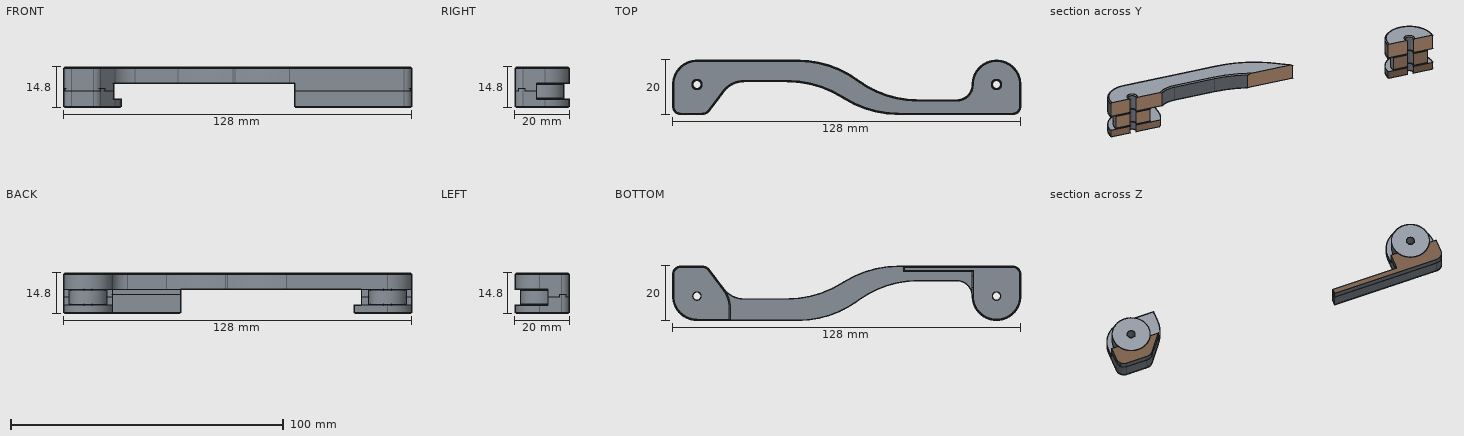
import cadquery as cq
import math

LENGTH = 128.0
DEPTH = 20.0
HEIGHT = 14.8

FLOOR_TOP = 3.1
JOINT_LEVEL = 6.1
TONGUE_TOP = 6.9
ROOF_LEVEL = 8.8

HEAD_RADIUS = 9.0
CORNER_RADIUS = 3.0
EDGE_CHAMFER = 0.45
ARM_FRONT = 12.0
ARM_BACK = 5.4
BEND_STRAIGHT = 0.8
FRONT_BEND_START = 42.1
FRONT_BEND_END = 83.1
BACK_BEND_START = 46.1
BACK_BEND_END = 90.2
FOOT_WIDTH = 12.5
FOOT_ANGLE = 53.0
FOOT_CORNER_RADIUS = 3.2
FOOT_BLEND_RADIUS = 9.2

PIVOT_Y = DEPTH - HEAD_RADIUS
PIVOTS = [(HEAD_RADIUS, PIVOT_Y), (LENGTH - HEAD_RADIUS, PIVOT_Y)]
BUSHING_DIAMETER = 14.0
BORE_DIAMETER = 3.0
BUSHING_GAP = 0.3
CAVITY_FRONT = 8.0

LEFT_FLOOR_RADIUS = 12.0
WALL_START = 84.9
WALL_THICKNESS = 2.0
TONGUE_FRONT = 1.3
TONGUE_BACK = 3.6

HEAD_LEFT = LENGTH - 2 * HEAD_RADIUS
HEAD_BLEND_RADIUS = PIVOT_Y - ARM_BACK

SLANT = math.radians(FOOT_ANGLE)
SLANT_X = math.cos(SLANT)
SLANT_Y = math.sin(SLANT)


def arc_point(center, radius, angle):
    """Point of an arc at an angle in radians from +X."""
    return (center[0] + radius * math.cos(angle), center[1] + radius * math.sin(angle))


def s_bend(high, low):
    """Points along a falling S-bend that starts and ends parallel to X.

    Returns the middle and end of the upper arc, then the start and middle of the lower arc;
    a short straight line tangent to both arcs joins them.
    """
    run = low[0] - high[0]
    drop = high[1] - low[1]
    radius = (run**2 + drop**2 - BEND_STRAIGHT**2) / (4 * drop)
    upper_center = (high[0], high[1] - radius)
    lower_center = (low[0], low[1] + radius)
    rise = lower_center[1] - upper_center[1]
    turn = math.atan2(rise, run) + math.acos(2 * radius / math.hypot(run, rise))
    halfway = (turn + math.pi / 2) / 2
    return (
        arc_point(upper_center, radius, halfway),
        arc_point(upper_center, radius, turn),
        arc_point(lower_center, radius, turn + math.pi),
        arc_point(lower_center, radius, halfway + math.pi),
    )


CORNER_SETBACK = FOOT_CORNER_RADIUS * math.tan(SLANT / 2)
BLEND_SETBACK = FOOT_BLEND_RADIUS * math.tan(SLANT / 2)
SLANT_LENGTH = ARM_FRONT / SLANT_Y
SLANT_LOW = (FOOT_WIDTH + CORNER_SETBACK * SLANT_X, CORNER_SETBACK * SLANT_Y)
SLANT_HIGH = (
    FOOT_WIDTH + (SLANT_LENGTH - BLEND_SETBACK) * SLANT_X,
    (SLANT_LENGTH - BLEND_SETBACK) * SLANT_Y,
)
BLEND_END = (FOOT_WIDTH + SLANT_LENGTH * SLANT_X + BLEND_SETBACK, ARM_FRONT)


def with_left_end(outline):
    """Draw the left end: from (HEAD_RADIUS, DEPTH) round to the top of the slanted side."""
    corner_start = (FOOT_WIDTH - CORNER_SETBACK, 0)
    return (
        outline.threePointArc(arc_point(PIVOTS[0], HEAD_RADIUS, 0.75 * math.pi), (0, PIVOT_Y))
        .lineTo(0, CORNER_RADIUS)
        .threePointArc(
            arc_point((CORNER_RADIUS, CORNER_RADIUS), CORNER_RADIUS, 1.25 * math.pi),
            (CORNER_RADIUS, 0),
        )
        .lineTo(*corner_start)
        .threePointArc(
            arc_point((corner_start[0], FOOT_CORNER_RADIUS), FOOT_CORNER_RADIUS, (SLANT - math.pi) / 2),
            SLANT_LOW,
        )
        .lineTo(*SLANT_HIGH)
    )


def with_right_end(outline):
    """Draw the right end: from the front edge round to the left side of the right head."""
    corner_center = (LENGTH - CORNER_RADIUS, CORNER_RADIUS)
    return (
        outline.lineTo(corner_center[0], 0)
        .threePointArc(
            arc_point(corner_center, CORNER_RADIUS, -math.pi / 4), (LENGTH, CORNER_RADIUS)
        )
        .lineTo(LENGTH, PIVOT_Y)
        .threePointArc((PIVOTS[1][0], DEPTH), (HEAD_LEFT, PIVOT_Y))
    )


def handle_outline():
    """Closed plan outline: two heads joined by the S-shaped arm."""
    front = s_bend((FRONT_BEND_START, ARM_FRONT), (FRONT_BEND_END, 0))
    back = s_bend((BACK_BEND_START, DEPTH), (BACK_BEND_END, ARM_BACK))
    foot_blend_center = (BLEND_END[0], ARM_FRONT - FOOT_BLEND_RADIUS)
    outline = with_left_end(cq.Workplane("XY").moveTo(HEAD_RADIUS, DEPTH))
    outline = (
        outline.threePointArc(
            arc_point(foot_blend_center, FOOT_BLEND_RADIUS, (math.pi + SLANT) / 2), BLEND_END
        )
        .lineTo(FRONT_BEND_START, ARM_FRONT)
        .threePointArc(front[0], front[1])
        .lineTo(*front[2])
        .threePointArc(front[3], (FRONT_BEND_END, 0))
    )
    head_blend_center = (HEAD_LEFT - HEAD_BLEND_RADIUS, PIVOT_Y)
    return (
        with_right_end(outline)
        .threePointArc(
            arc_point(head_blend_center, HEAD_BLEND_RADIUS, -math.pi / 4),
            (head_blend_center[0], ARM_BACK),
        )
        .lineTo(BACK_BEND_END, ARM_BACK)
        .threePointArc(back[3], back[2])
        .lineTo(*back[1])
        .threePointArc(back[0], (BACK_BEND_START, DEPTH))
        .close()
    )


def left_cover_outline():
    """Left end whose inner side rounds from the slanted side to the back."""
    floor_center = (
        SLANT_HIGH[0] - LEFT_FLOOR_RADIUS * SLANT_Y,
        SLANT_HIGH[1] + LEFT_FLOOR_RADIUS * SLANT_X,
    )
    side_x = floor_center[0] + LEFT_FLOOR_RADIUS
    outline = with_left_end(cq.Workplane("XY").moveTo(HEAD_RADIUS, DEPTH))
    return (
        outline.threePointArc(
            arc_point(floor_center, LEFT_FLOOR_RADIUS, (SLANT - math.pi / 2) / 2),
            (side_x, floor_center[1]),
        )
        .lineTo(side_x, DEPTH)
        .close()
    )


def right_cover_outline():
    """Right head with a thin wall running along the front of the arm."""
    outline = with_right_end(cq.Workplane("XY").moveTo(WALL_START, 0))
    return (
        outline.lineTo(HEAD_LEFT, WALL_THICKNESS).lineTo(WALL_START, WALL_THICKNESS).close()
    )


def box(x_range, y_range, z_range):
    """Block between the given (low, high) limits."""
    size = [high - low for low, high in (x_range, y_range, z_range)]
    return cq.Workplane("XY").box(*size, centered=False).translate(
        (x_range[0], y_range[0], z_range[0])
    )


def bores():
    """Straight holes on both pivot axes."""
    return cq.Workplane("XY").pushPoints(PIVOTS).circle(BORE_DIAMETER / 2).extrude(HEIGHT)


def bore_mouths():
    """45 degree cones that chamfer the bores at the top face."""
    mouth_radius = BORE_DIAMETER / 2 + EDGE_CHAMFER
    top = cq.Workplane("XY", origin=(0, 0, HEIGHT)).pushPoints(PIVOTS).circle(mouth_radius)
    return top.extrude(-EDGE_CHAMFER, taper=45)


def cavity():
    """Slot right through both ends, with a round recess that takes the front of each bushing."""
    slot = box((0, LENGTH), (CAVITY_FRONT, DEPTH), (FLOOR_TOP, ROOF_LEVEL))
    recesses = (
        cq.Workplane("XY", origin=(0, 0, FLOOR_TOP))
        .pushPoints(PIVOTS)
        .circle(BUSHING_DIAMETER / 2)
        .extrude(ROOF_LEVEL - FLOOR_TOP)
    )
    return slot.union(recesses)


def tongues():
    """Locating strip along X that rises from the joint level of both covers."""
    return box((0, LENGTH), (TONGUE_FRONT, TONGUE_BACK), (JOINT_LEVEL, TONGUE_TOP))


def make_cover(outline):
    """Lower part of one end: a floor with a wall that carries the tongue."""
    blank = outline.extrude(HEIGHT).faces("<Z").chamfer(EDGE_CHAMFER)
    below_joint = box((0, LENGTH), (0, DEPTH), (0, JOINT_LEVEL)).union(tongues())
    return blank.intersect(below_joint).cut(cavity()).cut(bores())


def make_handle():
    """Arm with both ends reaching down to the joint, grooved for the cover tongues."""
    blank = handle_outline().extrude(HEIGHT)
    handle = blank.intersect(box((0, LENGTH), (0, DEPTH), (ROOF_LEVEL, HEIGHT)))
    joint_to_roof = box((0, LENGTH), (0, DEPTH), (JOINT_LEVEL, ROOF_LEVEL))
    for outline in (left_cover_outline(), right_cover_outline()):
        handle = handle.union(outline.extrude(HEIGHT).intersect(blank).intersect(joint_to_roof))
    handle = handle.faces(">Z").chamfer(EDGE_CHAMFER)
    return handle.cut(cavity()).cut(tongues()).cut(bores()).cut(bore_mouths())


def make_bushing(pivot):
    """Plain ring between the floor and the roof of the cavity."""
    low = FLOOR_TOP + BUSHING_GAP
    return (
        cq.Workplane("XY", origin=(pivot[0], pivot[1], low))
        .circle(BUSHING_DIAMETER / 2)
        .circle(BORE_DIAMETER / 2)
        .extrude(ROOF_LEVEL - BUSHING_GAP - low)
    )


left_cover = make_cover(left_cover_outline())
right_cover = make_cover(right_cover_outline())
handle = make_handle()
bushings = [make_bushing(pivot) for pivot in PIVOTS]

result = cq.Compound.makeCompound(
    [handle.val(), left_cover.val(), right_cover.val(), *[bushing.val() for bushing in bushings]]
)